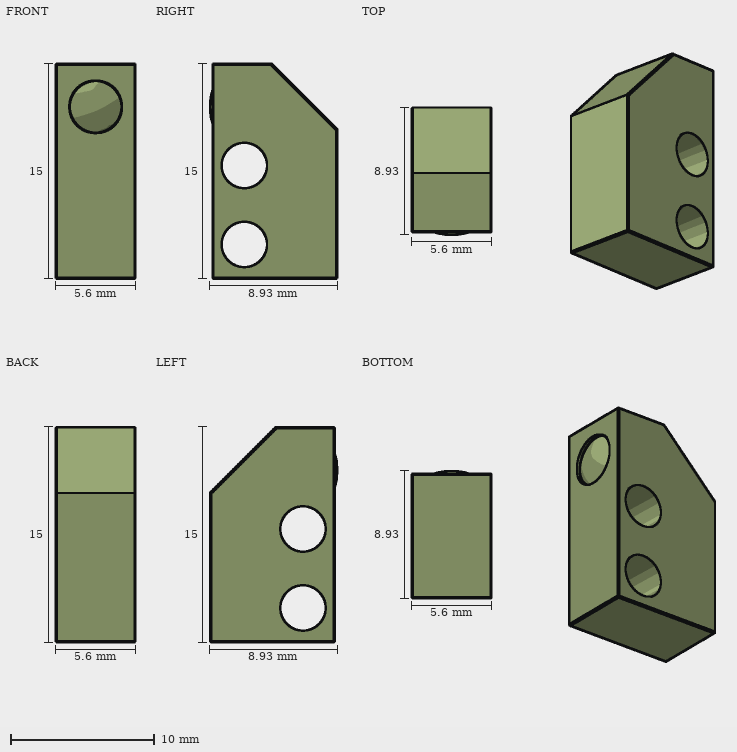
import cadquery as cq

width = 5.6
depth = 8.75
height = 15.04
edge_chamfer = 0.1

slope_run = 4.6

hole_diameter = 3.16
hole_setback = 2.24
lower_hole_height = 2.4
hole_pitch = 5.52

recess_diameter = 3.7
button_diameter = 3.6
recess_depth = 0.25
button_projection = 0.18
button_drop = 3.02
button_height = height - button_drop


def make_block():
    """Sloped block, chamfered on all edges except the two along the slope's ends."""
    profile = [
        (0, 0),
        (depth, 0),
        (depth, height - slope_run),
        (depth - slope_run, height),
        (0, height),
    ]
    block = cq.Workplane("YZ").polyline(profile).close().extrude(width / 2, both=True)
    slope_end_edges = block.faces(">(0, 1, 1)").edges("|X")
    sharp_edges = block.edges().filter(
        lambda edge: not any(edge.isSame(kept) for kept in slope_end_edges.vals())
    )
    return sharp_edges.chamfer(edge_chamfer)


def make_through_holes():
    """Cylinders along X for the two cross holes."""
    centres = [
        (hole_setback, lower_hole_height),
        (hole_setback, lower_hole_height + hole_pitch),
    ]
    return (
        cq.Workplane("YZ")
        .pushPoints(centres)
        .circle(hole_diameter / 2)
        .extrude(width, both=True)
    )


def make_recess():
    """Shallow disc sunk into the front face."""
    front = cq.Workplane("XZ", origin=(0, 0, button_height))
    return front.circle(recess_diameter / 2).extrude(-recess_depth)


def make_button():
    """Spherical cap rising from the recess floor to beyond the front face."""
    radius = button_diameter / 2
    rise = recess_depth + button_projection
    sphere_radius = (radius**2 + rise**2) / (2 * rise)
    sphere_centre_y = sphere_radius - button_projection
    sphere = cq.Workplane("XY", origin=(0, sphere_centre_y, button_height)).sphere(sphere_radius)
    cap_zone = (
        cq.Workplane("XZ", origin=(0, recess_depth, button_height))
        .circle(recess_diameter / 2)
        .extrude(2 * rise)
    )
    return sphere.intersect(cap_zone)


result = make_block().cut(make_through_holes()).cut(make_recess()).union(make_button())